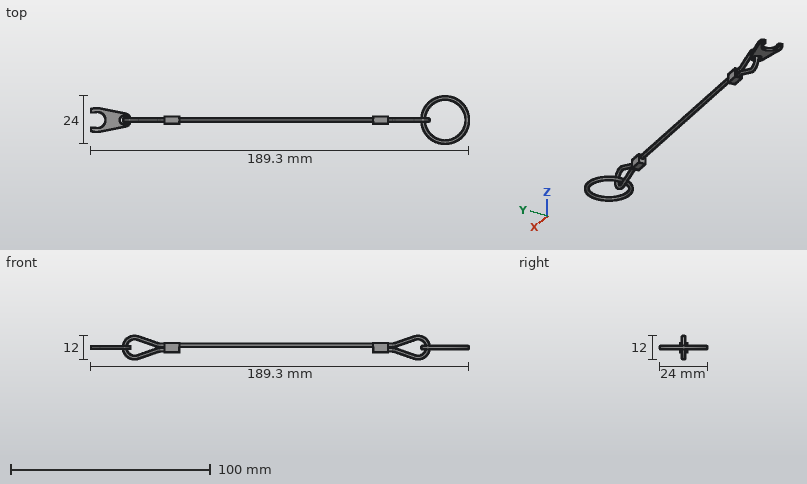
import cadquery as cq
import math

overall_length = 189.3
left_end = -overall_length / 2
right_end = overall_length / 2

rope_diameter = 1.9
rope_radius = rope_diameter / 2
strand_offset = 1.1
rope_middle = -1.9
eye_tip_distance = 76.8
eye_height = 12.0
eye_radius = eye_height / 2 - rope_radius
eye_center = eye_tip_distance - eye_height / 2
neck_distance = 58.1
neck_bend_radius = 4.7

ferrule_length = 7.5
ferrule_width = 3.8
ferrule_height = 4.7
ferrule_inner_end = 48.5
ferrule_center = ferrule_inner_end + ferrule_length / 2

clip_thickness = 1.5
clip_half_width = 6.0
clip_hole_center = left_end + 16.5
clip_hole_diameter = 4.2
clip_nose_radius = 3.5
arm_side_radius = 8.5
arm_widest = left_end + 2.8
seat_center = left_end + 3.2
seat_radius = 4.0
mouth_width = 7.5

ring_outer_diameter = 24.0
ring_wire_diameter = 1.9
ring_center = right_end - ring_outer_diameter / 2


def arc_point(center, radius, angle):
    """Point on a circle at an angle from the +X direction."""
    return (center[0] + radius * math.cos(angle), center[1] + radius * math.sin(angle))


def mirrored(point):
    """The same point on the other side of the X axis."""
    return (point[0], -point[1])


def make_clip():
    """Plate with two gripping arms round a seat, tapering to a nose with a hole for the eye."""
    half_mouth = mouth_width / 2
    side_center = (arm_widest, clip_half_width - arm_side_radius)
    nose_center = (clip_hole_center, 0)
    run = clip_hole_center - arm_widest
    rise = arm_side_radius - clip_half_width
    taper_angle = math.atan2(rise, run) + math.acos(
        (arm_side_radius - clip_nose_radius) / math.hypot(run, rise)
    )
    tip_angle = math.acos((left_end - arm_widest) / arm_side_radius)
    tip = arc_point(side_center, arm_side_radius, tip_angle)
    side = arc_point(side_center, arm_side_radius, math.pi / 2)
    taper_start = arc_point(side_center, arm_side_radius, taper_angle)
    taper_end = arc_point(nose_center, clip_nose_radius, taper_angle)
    nose = (clip_hole_center + clip_nose_radius, 0)
    mouth = (left_end, half_mouth)
    seat_start = (seat_center - math.sqrt(seat_radius**2 - half_mouth**2), half_mouth)
    seat_bottom = (seat_center + seat_radius, 0)
    plate = (
        cq.Workplane("XY")
        .moveTo(*mouth)
        .lineTo(*tip)
        .threePointArc(side, taper_start)
        .lineTo(*taper_end)
        .threePointArc(nose, mirrored(taper_end))
        .lineTo(*mirrored(taper_start))
        .threePointArc(mirrored(side), mirrored(tip))
        .lineTo(*mirrored(mouth))
        .lineTo(*mirrored(seat_start))
        .threePointArc(seat_bottom, seat_start)
        .close()
        .extrude(clip_thickness / 2, both=True)
    )
    hole = (
        cq.Workplane("XY")
        .center(clip_hole_center, 0)
        .circle(clip_hole_diameter / 2)
        .extrude(clip_thickness / 2, both=True)
    )
    return plate.cut(hole)


def strand_slope():
    """Angle to the X axis of the straight eye legs, tangent to both the eye and the neck bends."""
    run = eye_center - neck_distance
    rise = strand_offset + neck_bend_radius
    reach = math.hypot(run, rise)
    return math.asin((eye_radius + neck_bend_radius) / reach) - math.atan2(rise, run)


def make_eye():
    """Rope loop at the +X end, in coordinates measured from the rope middle."""
    slope = strand_slope()
    bend_x = neck_distance + neck_bend_radius * math.sin(slope)
    bend_z = strand_offset + neck_bend_radius * (1 - math.cos(slope))
    mid_x = neck_distance + neck_bend_radius * math.sin(slope / 2)
    mid_z = strand_offset + neck_bend_radius * (1 - math.cos(slope / 2))
    leg_x = eye_center - eye_radius * math.sin(slope)
    leg_z = eye_radius * math.cos(slope)
    path = (
        cq.Workplane("XZ")
        .moveTo(ferrule_center, strand_offset)
        .lineTo(neck_distance, strand_offset)
        .threePointArc((mid_x, mid_z), (bend_x, bend_z))
        .lineTo(leg_x, leg_z)
        .threePointArc((eye_center + eye_radius, 0), (leg_x, -leg_z))
        .lineTo(bend_x, -bend_z)
        .threePointArc((mid_x, -mid_z), (neck_distance, -strand_offset))
        .lineTo(ferrule_center, -strand_offset)
    )
    return (
        cq.Workplane("YZ", origin=(ferrule_center, 0, 0))
        .center(0, strand_offset)
        .circle(rope_radius)
        .sweep(path)
    )


def make_ferrule():
    """Crimped block at the +X end, in coordinates measured from the rope middle."""
    return (
        cq.Workplane("XY")
        .box(ferrule_length, ferrule_width, ferrule_height)
        .translate((ferrule_center, 0, 0))
    )


def make_lanyard():
    """Straight rope joined to a ferrule and an eye at each end."""
    lanyard = (
        cq.Workplane("YZ")
        .center(0, strand_offset)
        .circle(rope_radius)
        .extrude(ferrule_center, both=True)
    )
    rope_end = make_ferrule().union(make_eye())
    for one_end in (rope_end, rope_end.mirror("YZ")):
        lanyard = lanyard.union(one_end)
    return lanyard.translate((rope_middle, 0, 0))


def make_ring():
    """Round-wire ring lying in the mid-plane and linked through the +X eye."""
    wire_radius = ring_wire_diameter / 2
    ring = cq.Solid.makeTorus(ring_outer_diameter / 2 - wire_radius, wire_radius)
    return cq.Workplane("XY").add(ring).translate((ring_center, 0, 0))


clip = make_clip()
lanyard = make_lanyard()
ring = make_ring()

result = cq.Compound.makeCompound([clip.solids().val(), lanyard.solids().val(), ring.val()])